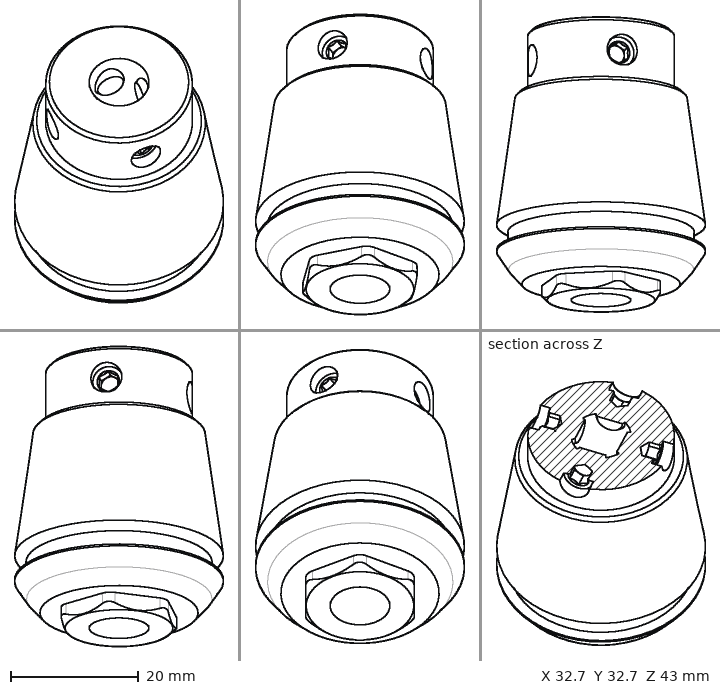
import cadquery as cq
import math

height = 43.0
collar_diameter = 23.0
collar_length = 10.0
edge_chamfer = 0.6
bore_diameter = 9.35

shoulder_z = height - collar_length
shoulder_diameter = 27.0
flare_diameter = 32.72
flare_bottom_z = 12.05
groove_diameter = 29.2
groove_top_z = 10.92
groove_bottom_z = 8.05

rim_diameter = flare_diameter
rim_width = 0.3
taper_break_diameter = 29.02
taper_break_z = 4.95
body_bottom_diameter = 24.75
body_bottom_z = 2.6

drive_flats = 17.0
drive_corner_fillet = 2.0
drive_bottom_diameter = 16.85

screw_count = 4
screw_z = height - 5.3
screw_hole_diameter = 4.9
screw_diameter = 6.0
screw_length = 6.0
screw_tip_x = 3.53
screw_tip_diameter = 4.35
screw_tip_half_angle = 33.0
socket_flats = 2.95
socket_depth = 2.0
socket_mouth_diameter = 3.53
socket_point_angle = 120.0


def across_corners(flats):
    """Corner-to-corner size of a hexagon given its width across flats."""
    return flats / math.cos(math.pi / 6)


def make_body():
    """Revolve the collar, sleeve, groove and rim in one profile."""
    collar_radius = collar_diameter / 2
    shoulder_radius = shoulder_diameter / 2
    rim_bottom_z = groove_bottom_z - rim_width
    return (
        cq.Workplane("XZ")
        .moveTo(0, body_bottom_z)
        .lineTo(body_bottom_diameter / 2, body_bottom_z)
        .lineTo(taper_break_diameter / 2, taper_break_z)
        .lineTo(rim_diameter / 2, rim_bottom_z)
        .lineTo(rim_diameter / 2, groove_bottom_z)
        .lineTo(groove_diameter / 2, groove_bottom_z)
        .lineTo(groove_diameter / 2, groove_top_z)
        .lineTo(flare_diameter / 2, flare_bottom_z)
        .lineTo(shoulder_radius, shoulder_z - edge_chamfer)
        .lineTo(shoulder_radius - edge_chamfer, shoulder_z)
        .lineTo(collar_radius, shoulder_z)
        .lineTo(collar_radius, height - edge_chamfer)
        .lineTo(collar_radius - edge_chamfer, height)
        .lineTo(0, height)
        .close()
        .revolve(360, (0, 0), (0, 1))
    )


def make_drive():
    """Hexagon with corners on X, rounded upright edges and a 45 degree lower edge."""
    hexagon = (
        cq.Workplane("XY")
        .polygon(6, across_corners(drive_flats))
        .extrude(body_bottom_z)
        .edges("|Z")
        .fillet(drive_corner_fillet)
    )
    bottom_radius = drive_bottom_diameter / 2
    envelope = cq.Solid.makeCone(bottom_radius, bottom_radius + body_bottom_z, body_bottom_z)
    return hexagon.intersect(cq.Workplane(envelope))


def make_screw():
    """Set screw along +X: tapered tip in the bore, blind hexagon socket facing outward."""
    inward = cq.Vector(-1, 0, 0)
    outer_face = screw_tip_x + screw_length
    screw_radius = screw_diameter / 2
    tip_radius = screw_tip_diameter / 2
    taper_length = (screw_radius - tip_radius) / math.tan(math.radians(screw_tip_half_angle))
    screw = (
        cq.Workplane("XZ")
        .moveTo(screw_tip_x, screw_z)
        .lineTo(screw_tip_x, screw_z + tip_radius)
        .lineTo(screw_tip_x + taper_length, screw_z + screw_radius)
        .lineTo(outer_face, screw_z + screw_radius)
        .lineTo(outer_face, screw_z)
        .close()
        .revolve(360, (0, screw_z), (1, screw_z))
    )
    socket = (
        cq.Workplane("YZ", origin=(outer_face, 0, screw_z))
        .transformed(rotate=(0, 0, 90))
        .polygon(6, across_corners(socket_flats))
        .extrude(-socket_depth)
    )
    socket_radius = socket_flats / 2
    mouth_radius = socket_mouth_diameter / 2
    mouth = cq.Solid.makeCone(
        mouth_radius,
        socket_radius,
        mouth_radius - socket_radius,
        cq.Vector(outer_face, 0, screw_z),
        inward,
    )
    drill_point = cq.Solid.makeCone(
        socket_radius,
        0,
        socket_radius / math.tan(math.radians(socket_point_angle / 2)),
        cq.Vector(outer_face - socket_depth, 0, screw_z),
        inward,
    )
    return screw.cut(socket).cut(cq.Workplane(mouth)).cut(cq.Workplane(drill_point))


result = make_body().union(make_drive())
result = result.cut(cq.Workplane("XY").circle(bore_diameter / 2).extrude(height))

screw_hole = (
    cq.Workplane("YZ", origin=(0, 0, screw_z))
    .circle(screw_hole_diameter / 2)
    .extrude(collar_diameter / 2)
)
screw = make_screw()
for i in range(screw_count):
    angle = i * 360 / screw_count
    result = result.cut(screw_hole.rotate((0, 0, 0), (0, 0, 1), angle))
    result = result.union(screw.rotate((0, 0, 0), (0, 0, 1), angle))